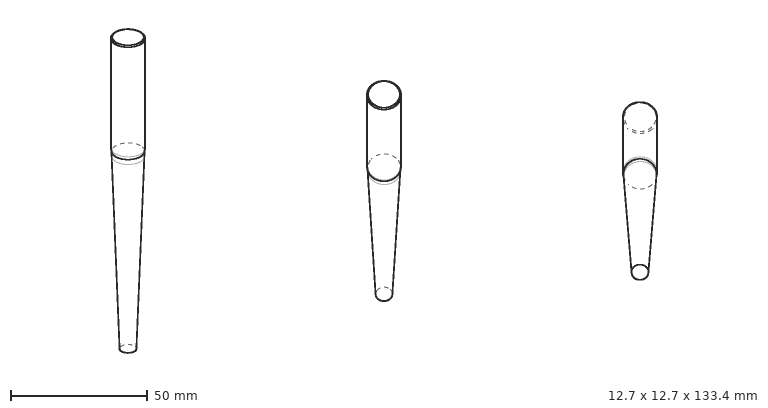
import cadquery as cq

total_length = 133.4
handle_diameter = 12.7
rim_chamfer = 0.5

collar_bottom = 82.6
joint_height = 84.6
handle_taper_top = 86.0

tip_diameter = 6.3
collar_diameter = 12.1

handle_radius = handle_diameter / 2
tip_radius = tip_diameter / 2
collar_radius = collar_diameter / 2


def revolve_profile(points):
    """Revolve a closed outline of (radius, height) points about the Z axis."""
    return cq.Workplane("XZ").polyline(points).close().revolve(360, (0, 0, 0), (0, 1, 0))


def make_handle():
    """Cylinder with a chamfered top rim, narrowing to the collar at its lower end."""
    return revolve_profile([
        (0, joint_height),
        (collar_radius, joint_height),
        (handle_radius, handle_taper_top),
        (handle_radius, total_length - rim_chamfer),
        (handle_radius - rim_chamfer, total_length),
        (0, total_length),
    ])


def make_shank():
    """Cone that widens from the flat tip to a short straight collar."""
    return revolve_profile([
        (0, 0),
        (tip_radius, 0),
        (collar_radius, collar_bottom),
        (collar_radius, joint_height),
        (0, joint_height),
    ])


handle = make_handle()
shank = make_shank()

result = cq.Compound.makeCompound([handle.val(), shank.val()])